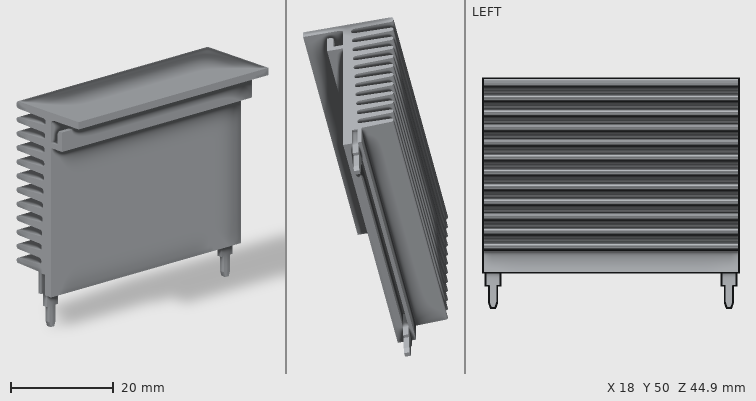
import cadquery as cq
import math


length = 50.0
height = 38.0

flange_width = 18.0
flange_thickness = 1.5
flange_edge_radius = 0.55
flange_fillet = 0.8

mounting_face_x = 10.0
foot_width = 3.65

gap_count = 11
fin_pitch = 2.89
first_gap_depth = 2.385
fin_tip_thickness = 1.05
fin_edge_radius = 0.45
gap_root_width = 1.34
gap_root_radius = 0.61
first_root_x = 8.4
last_root_x = 7.15
last_fin_underside_z = 4.45

hook_reach = 3.2
hook_lip_thickness = 1.3
hook_top_drop = 3.3
hook_height = 4.0
hook_shelf_thickness = 1.1
hook_bevel_width = 0.3
hook_bevel_height = 0.5

slot_x = 7.1
pin_thickness = 1.1
slot_depth = 4.25
pin_end_inset = 0.5
pin_body_width = 3.0
pin_body_drop = 2.5
pin_leg_width = 1.65
pin_drop = 6.87
pin_tip_width = 0.9
pin_tip_height = 1.1

QUARTER_ARC = math.sqrt(0.5)


def rounded_end(outline, end_x, mid_z, width, radius):
    """Add an end face at end_x, drawn downwards, with both corners rounded.

    A positive radius rounds towards +X (fin tips), a negative one towards -X (gap roots).
    """
    size = abs(radius)
    side_x = end_x + radius
    bulge_x = end_x + radius * (1 - QUARTER_ARC)
    bulge_z = size * (1 - QUARTER_ARC)
    upper_z = mid_z + width / 2
    lower_z = mid_z - width / 2
    return (
        outline.lineTo(side_x, upper_z)
        .threePointArc((bulge_x, upper_z - bulge_z), (end_x, upper_z - size))
        .lineTo(end_x, lower_z + size)
        .threePointArc((bulge_x, lower_z + bulge_z), (side_x, lower_z))
    )


def finned_outline():
    """Flange, web and fins as one closed outline in XZ."""
    flange_bottom_z = height - flange_thickness
    flange_mid_z = height - flange_thickness / 2

    outline = cq.Workplane("XZ", origin=(0, length / 2, 0)).moveTo(flange_width, height)
    outline = rounded_end(outline, 0, flange_mid_z, flange_thickness, flange_edge_radius)
    for gap in range(gap_count):
        gap_z = height - first_gap_depth - gap * fin_pitch
        fin_z = gap_z - fin_pitch / 2
        root_x = first_root_x + (last_root_x - first_root_x) * gap / (gap_count - 1)
        outline = rounded_end(outline, root_x, gap_z, gap_root_width, -gap_root_radius)
        outline = rounded_end(outline, 0, fin_z, fin_tip_thickness, fin_edge_radius)

    foot_x = mounting_face_x - foot_width
    fillet_x = mounting_face_x + flange_fillet
    fillet_bulge = flange_fillet * (1 - QUARTER_ARC)
    return (
        outline.lineTo(foot_x, last_fin_underside_z)
        .lineTo(foot_x, 0)
        .lineTo(mounting_face_x, 0)
        .lineTo(mounting_face_x, flange_bottom_z - flange_fillet)
        .threePointArc(
            (mounting_face_x + fillet_bulge, flange_bottom_z - fillet_bulge),
            (fillet_x, flange_bottom_z),
        )
        .lineTo(flange_width, flange_bottom_z)
        .close()
    )


def hook():
    """Upturned clip hook along the whole length, bevelled inside its lip."""
    outer_x = mounting_face_x + hook_reach
    inner_x = outer_x - hook_lip_thickness
    top_z = height - hook_top_drop
    bottom_z = top_z - hook_height
    shelf_z = bottom_z + hook_shelf_thickness
    buried_x = mounting_face_x - foot_width / 4
    return (
        cq.Workplane("XZ", origin=(0, length / 2, 0))
        .moveTo(buried_x, bottom_z)
        .lineTo(outer_x, bottom_z)
        .lineTo(outer_x, top_z)
        .lineTo(inner_x + hook_bevel_width, top_z)
        .lineTo(inner_x, top_z - hook_bevel_height)
        .lineTo(inner_x, shelf_z)
        .lineTo(buried_x, shelf_z)
        .close()
        .extrude(length)
    )


def pin_slot():
    """Slot along the underside of the foot that holds the pins."""
    return cq.Workplane("XY").box(
        pin_thickness, length, slot_depth, centered=(False, True, False)
    ).translate((slot_x, 0, 0))


def pin(center_y):
    """Flat stepped pin filling the slot height, with a tapered tip."""
    half_body = pin_body_width / 2
    half_leg = pin_leg_width / 2
    half_tip = pin_tip_width / 2
    return (
        cq.Workplane("YZ", origin=(slot_x, center_y, 0))
        .moveTo(-half_body, slot_depth)
        .lineTo(-half_body, -pin_body_drop)
        .lineTo(-half_leg, -pin_body_drop)
        .lineTo(-half_leg, pin_tip_height - pin_drop)
        .lineTo(-half_tip, -pin_drop)
        .lineTo(half_tip, -pin_drop)
        .lineTo(half_leg, pin_tip_height - pin_drop)
        .lineTo(half_leg, -pin_body_drop)
        .lineTo(half_body, -pin_body_drop)
        .lineTo(half_body, slot_depth)
        .close()
        .extrude(pin_thickness)
    )


heatsink = finned_outline().extrude(length).union(hook()).cut(pin_slot())

pin_offset_y = length / 2 - pin_end_inset - pin_body_width / 2
for side in (-1, 1):
    heatsink = heatsink.union(pin(side * pin_offset_y))

result = heatsink